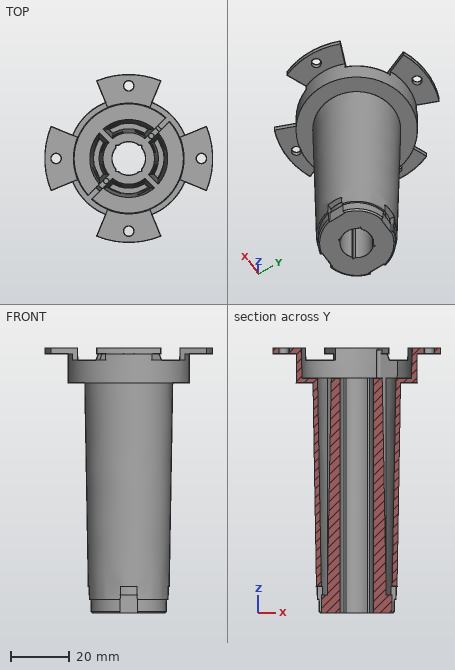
import cadquery as cq
import math

total_height = 91.15
rim_z = 87.0
flange_bottom_z = 79.1
cup_floor_z = 80.8
shoulder_z = 4.7
pocket_floor_z = 6.3

cup_outer_radius = 20.9
cup_top_inner_radius = 19.05
cup_floor_radius = 18.8

tube_top_radius = 15.1
tube_bottom_radius = 13.9
foot_radius = 13.3
foot_chamfer = 0.55

pocket_outer_radius = 13.4
pocket_inner_radius = 8.8
pocket_draft = 1.4
web_width = 1.8
web_angles = (45.0, 135.0)

bore_radius = 5.7
bore_corner_square = 8.9

tab_count = 4
tab_pitch = 360 / tab_count
tab_angle = tab_pitch / 2
tab_thickness = 2.1
tab_outer_radius = 28.9
tab_hole_radius = 25.0
tab_hole_diameter = 3.5

rib_angles = (45.0, 225.0)
rib_width = 1.8
rib_shelf_radius = 15.0
rib_crest_radius = 13.9
rib_crest_z = 89.1
pin_radius = 0.9
pin_centre_radius = 10.9
pin_top_z = 90.4

window_count = 4
window_top_z = 9.2
window_top_width = 5.6
window_bottom_width = 6.2
window_flat_distance = 12.1
window_opening_distance = 10.9


def cylinder(radius, bottom_z, top_z):
    return cq.Workplane("XY").workplane(offset=bottom_z).circle(radius).extrude(top_z - bottom_z)


def spin(solid, angle):
    return solid.rotate((0, 0, 0), (0, 0, 1), angle)


def make_body():
    """Solid of revolution: foot, tapered tube and hollow cup."""
    profile = [
        (0, 0),
        (foot_radius - foot_chamfer, 0),
        (foot_radius, foot_chamfer),
        (foot_radius, shoulder_z),
        (tube_bottom_radius, shoulder_z),
        (tube_top_radius, flange_bottom_z),
        (cup_outer_radius, flange_bottom_z),
        (cup_outer_radius, total_height),
        (cup_top_inner_radius, total_height),
        (cup_floor_radius, cup_floor_z),
        (0, cup_floor_z),
    ]
    return cq.Workplane("XZ").polyline(profile).close().revolve(360, (0, 0), (0, 1))


def make_sector(radius, bottom_z, top_z):
    """Wedge centred on +X, as wide as a tab or a gap."""
    half_angle = math.radians(tab_angle / 2)
    x = radius * math.cos(half_angle)
    y = radius * math.sin(half_angle)
    return (
        cq.Workplane("XY").workplane(offset=bottom_z)
        .lineTo(x, -y).threePointArc((radius, 0), (x, y)).close()
        .extrude(top_z - bottom_z)
    )


def make_tab():
    """Flat tab on the +X side with a screw hole, open over the cup."""
    bottom_z = total_height - tab_thickness
    tab = make_sector(tab_outer_radius, bottom_z, total_height)
    hole = cylinder(tab_hole_diameter / 2, bottom_z, total_height)
    cup_opening = cylinder(cup_top_inner_radius, bottom_z, total_height)
    return tab.cut(hole.translate((tab_hole_radius, 0, 0))).cut(cup_opening)


def make_pocket():
    """Deep annular pocket, divided by four webs that thicken with the draft."""
    profile = [
        (pocket_inner_radius, cup_floor_z),
        (pocket_outer_radius, cup_floor_z),
        (pocket_outer_radius - pocket_draft, pocket_floor_z),
        (pocket_inner_radius + pocket_draft, pocket_floor_z),
    ]
    pocket = cq.Workplane("XZ").polyline(profile).close().revolve(360, (0, 0), (0, 1))
    web_length = 2 * tube_top_radius
    web = (
        cq.Workplane("XY").workplane(offset=pocket_floor_z)
        .rect(web_length, web_width + 2 * pocket_draft)
        .workplane(offset=cup_floor_z - pocket_floor_z).rect(web_length, web_width)
        .loft()
    )
    for angle in web_angles:
        pocket = pocket.cut(spin(web, angle))
    return pocket


def make_rib():
    """Radial rib along +X, rising to a crest and ending in a round pin."""
    wall_radius = (cup_top_inner_radius + cup_outer_radius) / 2
    profile = [
        (pin_centre_radius, cup_floor_z),
        (wall_radius, cup_floor_z),
        (wall_radius, rim_z),
        (rib_shelf_radius, rim_z),
        (rib_crest_radius, rib_crest_z),
        (pin_centre_radius, rib_crest_z),
    ]
    rib = cq.Workplane("XZ").polyline(profile).close().extrude(rib_width / 2, both=True)
    pin = cylinder(pin_radius, cup_floor_z, pin_top_z)
    return rib.union(pin.translate((pin_centre_radius, 0, 0)))


def make_bore():
    corners = cq.Workplane("XY").rect(bore_corner_square, bore_corner_square).extrude(total_height)
    return cylinder(bore_radius, 0, total_height).union(corners)


def make_window():
    """Notch on the +X side, wider at the foot and open to the pocket at its top."""
    outline = [
        (-window_bottom_width / 2, 0),
        (window_bottom_width / 2, 0),
        (window_top_width / 2, window_top_z),
        (-window_top_width / 2, window_top_z),
    ]
    notch = (
        cq.Workplane("YZ").workplane(offset=window_opening_distance)
        .polyline(outline).close().extrude(tube_top_radius - window_opening_distance)
    )
    ledge_depth = window_flat_distance - window_opening_distance
    ledge = cq.Workplane("XY").box(
        ledge_depth, window_bottom_width, pocket_floor_z, centered=(False, True, False)
    )
    return notch.cut(ledge.translate((window_opening_distance, 0, 0)))


result = make_body().cut(make_pocket())

wall_gap = make_sector(tab_outer_radius, rim_z, total_height)
for i in range(tab_count):
    result = result.cut(spin(wall_gap, (i + 0.5) * tab_pitch))
    result = result.union(spin(make_tab(), i * tab_pitch))

for angle in rib_angles:
    result = result.union(spin(make_rib(), angle))

result = result.cut(make_bore())

for i in range(window_count):
    result = result.cut(spin(make_window(), i * 360 / window_count))